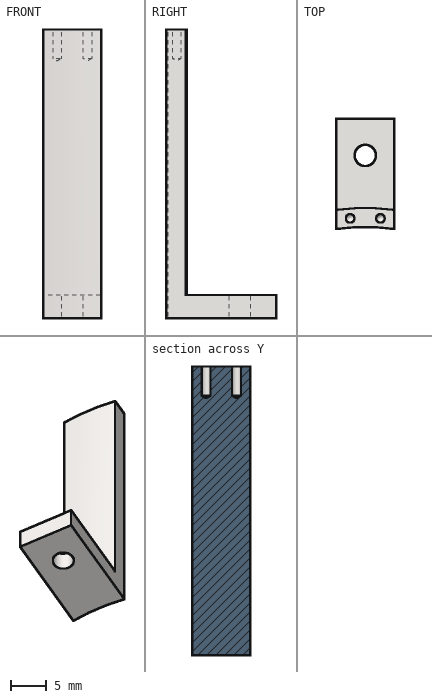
import cadquery as cq
import math

width = 8.15
depth = 15.38
height = 40.25
base_thickness = 3.25

front_radius = 29.0
wall_thickness = 2.65
back_radius = front_radius + wall_thickness
axis_y = -math.sqrt(front_radius**2 - (width / 2) ** 2)

mount_hole_diameter = 2.95
mount_hole_y = 10.25
pin_hole_diameter = 1.2
pin_hole_spacing = 4.23
pin_hole_y = 1.5
pin_hole_depth = 4.03
drill_tip_angle = 118.0


def cylinder_on_axis(radius):
    """Full-height cylinder about the axis of the curved wall."""
    return cq.Workplane("XY").center(0, axis_y).circle(radius).extrude(height)


def block(block_height):
    """Box of full width and depth standing on Z = 0."""
    return cq.Workplane("XY").box(width, depth, block_height, centered=(True, False, False))


def pin_hole(x):
    """Blind drilled hole with a conical end, cut down from the top face."""
    radius = pin_hole_diameter / 2
    tip_length = radius / math.tan(math.radians(drill_tip_angle / 2))
    return (
        cq.Workplane("XZ")
        .polyline([
            (0, 0),
            (radius, 0),
            (radius, -pin_hole_depth),
            (0, -pin_hole_depth - tip_length),
        ])
        .close()
        .revolve(360, (0, 0), (0, 1))
        .translate((x, pin_hole_y, height))
    )


wall = block(height).intersect(cylinder_on_axis(back_radius))
base = block(base_thickness)
result = wall.union(base).cut(cylinder_on_axis(front_radius))

mount_hole = (
    cq.Workplane("XY")
    .center(0, mount_hole_y)
    .circle(mount_hole_diameter / 2)
    .extrude(base_thickness)
)
result = result.cut(mount_hole)

for side in (-1, 1):
    result = result.cut(pin_hole(side * pin_hole_spacing / 2))